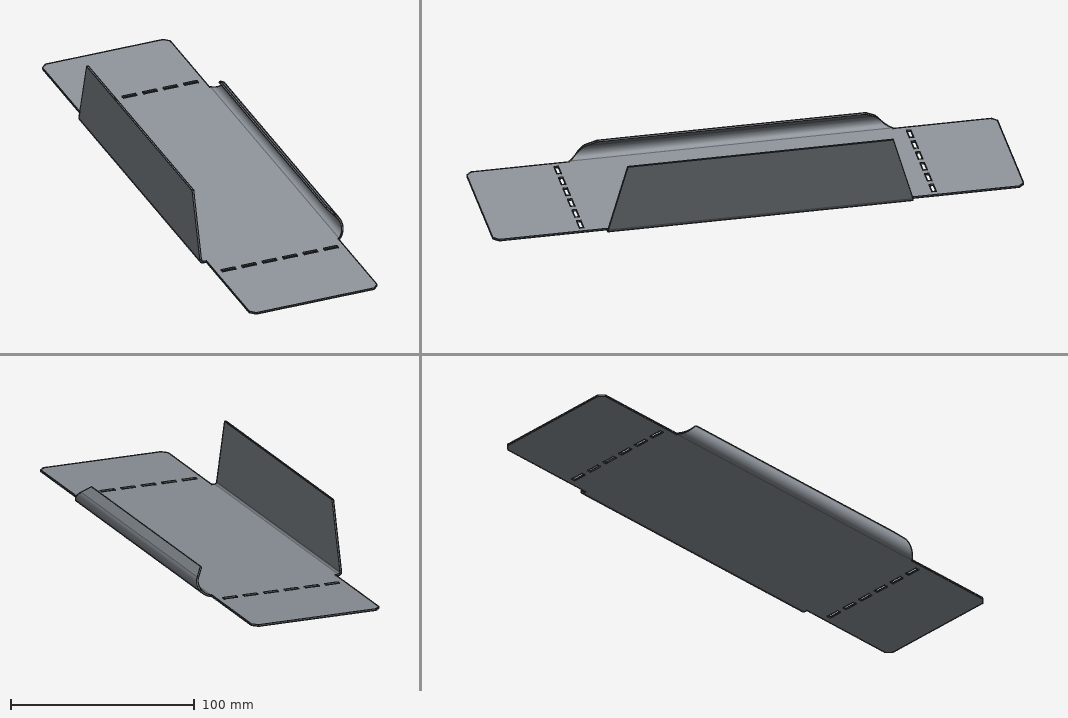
import cadquery as cq
import math

thickness = 1.0
plate_length = 295
overall_width = 85.0
plate_width = 75.5
corner_cut = 3.0

slot_width = 2.5
slot_length = 8.0
slot_pitch = 12.0
slots_per_row = 6
slot_row_x = 98.0

flange_height = 40.0
flange_face_y = -41.5
flange_bend_radius = 2.0
flange_base_half = 84.7
flange_top_half = 73.8

hook_outer_y = flange_face_y + overall_width
hook_radius = 5.0
hook_angle = 135
hook_height = 12.7
hook_base_half = 90.0
hook_tip_half = 74.5

axis_y = hook_outer_y - hook_radius
axis_z = hook_radius
inner_radius = hook_radius - thickness
lip_rise = math.radians(180 - hook_angle)
curl_top_z = axis_z - hook_radius * math.cos(math.radians(hook_angle))
lip_length = (hook_height - curl_top_z) / math.sin(lip_rise)
curl_length = hook_radius * math.radians(hook_angle)
end_taper = (hook_base_half - hook_tip_half) / (curl_length + lip_length)
curl_end_half = hook_base_half - end_taper * curl_length


def make_plate():
    """Flat base with cut corners and two rows of slots."""
    plate = (
        cq.Workplane("XY")
        .rect(plate_length, plate_width)
        .extrude(thickness)
        .edges("|Z")
        .chamfer(corner_cut)
    )
    slots = (
        cq.Workplane("XY")
        .rarray(2 * slot_row_x, slot_pitch, 2, slots_per_row)
        .rect(slot_width, slot_length)
        .extrude(thickness)
    )
    return plate.cut(slots)


def make_flange():
    """Upright wall with a rounded bend and sloping ends."""
    root_y = -plate_width / 2 + thickness
    angle_bar = (
        cq.Workplane("YZ")
        .moveTo(root_y, 0)
        .lineTo(flange_face_y, 0)
        .lineTo(flange_face_y, flange_height)
        .lineTo(flange_face_y + thickness, flange_height)
        .lineTo(flange_face_y + thickness, thickness)
        .lineTo(root_y, thickness)
        .close()
        .extrude(flange_base_half, both=True)
        .edges("|X and <Y and <Z")
        .fillet(flange_bend_radius)
        .edges(cq.selectors.NearestToPointSelector((0, flange_face_y + thickness, thickness)))
        .fillet(flange_bend_radius - thickness)
    )
    outline = (
        cq.Workplane("XZ", origin=(0, root_y, 0))
        .moveTo(-flange_base_half, 0)
        .lineTo(flange_base_half, 0)
        .lineTo(flange_base_half, flange_bend_radius)
        .lineTo(flange_top_half, flange_height)
        .lineTo(-flange_top_half, flange_height)
        .lineTo(-flange_base_half, flange_bend_radius)
        .close()
        .extrude(root_y - flange_face_y)
    )
    return angle_bar.intersect(outline)


def curl_point(radius, angle):
    """Point (Y, Z) relative to the curl axis, at an angle from the bottom of the curl."""
    turn = math.radians(angle)
    return (radius * math.sin(turn), -radius * math.cos(turn))


def make_curl():
    """Rolled part of the hook, tapered toward its upper end."""
    curl = (
        cq.Workplane("YZ", origin=(-hook_base_half, axis_y, axis_z))
        .moveTo(*curl_point(hook_radius, 0))
        .threePointArc(curl_point(hook_radius, hook_angle / 2), curl_point(hook_radius, hook_angle))
        .lineTo(*curl_point(inner_radius, hook_angle))
        .threePointArc(curl_point(inner_radius, hook_angle / 2), curl_point(inner_radius, 0))
        .close()
        .extrude(2 * hook_base_half)
    )
    cutter_radius = 2 * hook_radius
    end_cutter = (
        cq.Workplane("YZ", origin=(-hook_base_half, axis_y, axis_z))
        .moveTo(*curl_point(cutter_radius, 0))
        .threePointArc(curl_point(cutter_radius, 90), curl_point(cutter_radius, 180))
        .close()
        .twistExtrude(hook_base_half - curl_end_half, hook_angle)
    )
    return curl.cut(end_cutter).cut(end_cutter.mirror("YZ"))


def make_lip():
    """Flat sloping lip that continues the curl back over the plate."""
    start_y, start_z = curl_point(hook_radius, hook_angle)
    lip_plane = cq.Plane(
        origin=(0, axis_y + start_y, axis_z + start_z),
        xDir=(1, 0, 0),
        normal=(0, -math.sin(lip_rise), -math.cos(lip_rise)),
    )
    return (
        cq.Workplane(lip_plane)
        .moveTo(-curl_end_half, 0)
        .lineTo(curl_end_half, 0)
        .lineTo(hook_tip_half, lip_length)
        .lineTo(-hook_tip_half, lip_length)
        .close()
        .extrude(thickness)
    )


def make_tongue():
    """Flat strip of sheet that carries the plate to the start of the curl."""
    tongue_root_y = plate_width / 2 - thickness
    return (
        cq.Workplane("XY")
        .center(0, (tongue_root_y + axis_y) / 2)
        .rect(2 * hook_base_half, axis_y - tongue_root_y)
        .extrude(thickness)
    )


body = make_plate()
for piece in (make_flange(), make_tongue(), make_curl(), make_lip()):
    body = body.union(piece)

result = body.solids()